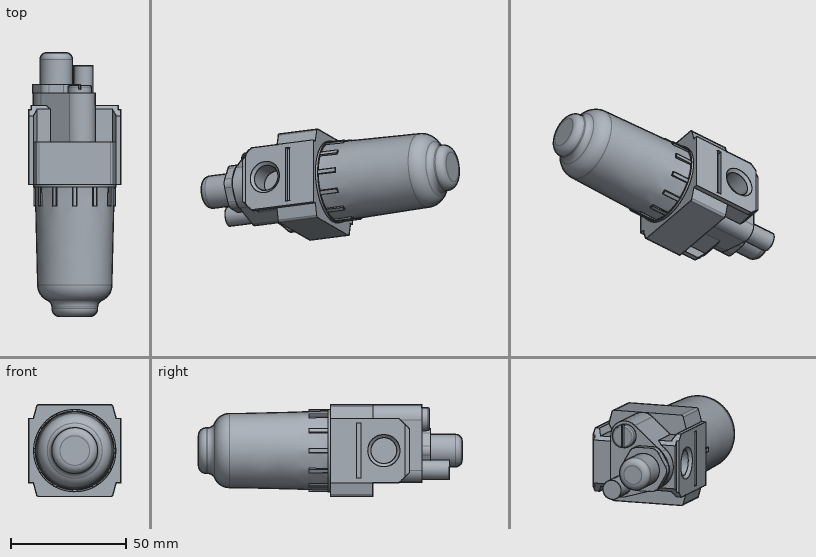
import cadquery as cq
import math


width = 40.0
half = width / 2
plate_half_height = 14.0
plate_inner_x = 18.0
block_top_half = 16.4
block_length = 18.4
block_edge_radius = 1.1
core_half_height = 11.1
body_length = 34.4
back_half_height = 9.5
chamfer_length = 4.6
back_step_length = 1.8
back_step_depth = 1.0

port_y = 23.2
port_radius = 5.6
port_mouth_radius = 7.0
port_depth = 11.5
groove_y = 12.4
groove_width = 1.8
groove_height = 23.9
groove_depth = 2.0

head_length = 39.7
knob_x = -8.0
head_right = 8.9
head_bottom = -13.7
knob_lobe = (knob_x, 0, 10.1)
low_radius = 5.2
low_lobe = (head_right - low_radius, head_bottom + low_radius, low_radius)
screw_lobe_radius = 6.8
screw_x = head_right - screw_lobe_radius
screw_lobe = (screw_x, half - screw_lobe_radius, screw_lobe_radius)

nut_end = 43.5
nut_flats = 19.1
nut_corner_radius = 4.0
knob_end = 57.2
knob_radius = 7.1
knob_rounding = 3.0
plug_x = 3.8
plug_z = -8.4
plug_radius = 4.2
plug_end = 51.6
screw_z = 13.6
screw_radius = 5.0
screw_end = 42.9
screw_rounding = 0.7
slot_width = 1.1
slot_depth = 1.5

collar_radius = 17.9
collar_length = 1.0
bowl_top_radius = 17.2
bowl_low_radius = 16.1
cone_end = 43.6
dome_radius = 7.1
dome_sweep = math.radians(66)
neck_radius = 10.0
cap_start = 53.7
bowl_end = 57.2
rib_count = 12
rib_end = 9.3
rib_tip_width = 1.7
rib_base_width = 2.4
rib_root_radius = 15.8
rib_tip_radius = 17.7


def plane_at(y, x=0, z=0):
    """Plane facing +Y whose second axis is +Z, so its first axis is -X."""
    return cq.Workplane(cq.Plane(origin=(x, y, z), xDir=(-1, 0, 0), normal=(0, 1, 0)))


def cylinder(x, z, radius, start, end):
    return plane_at(start, x, z).circle(radius).extrude(end - start)


def prism(points, start, end):
    """Extrude an outline of (x, z) points from y = start to y = end."""
    return cq.Workplane("XZ", origin=(0, start, 0)).polyline(points).close().extrude(start - end)


def mirrored(quarter):
    """Complete a quarter outline, listed from the right side to the top, to all four quarters."""
    upper = quarter + [(-x, z) for x, z in reversed(quarter)]
    return upper + [(-x, -z) for x, z in upper]


def make_block():
    outline = mirrored([(plate_inner_x, plate_half_height), (block_top_half, half)])
    block = prism(outline, 0, block_length)
    for side in (">Z", "<Z"):
        block = block.faces(side).edges("|Y").fillet(block_edge_radius)
    return block


def make_plates():
    section = mirrored([
        (half, plate_half_height),
        (plate_inner_x, plate_half_height),
        (block_top_half, core_half_height),
    ])
    plates = prism(section, 0, body_length)
    chamfer_y = body_length - chamfer_length
    side_outline = [
        (0, plate_half_height),
        (chamfer_y, plate_half_height),
        (body_length, back_half_height),
        (body_length, -back_half_height),
        (chamfer_y, -plate_half_height),
        (0, -plate_half_height),
    ]
    envelope = cq.Workplane("YZ").polyline(side_outline).close().extrude(half, both=True)
    plates = plates.intersect(envelope)
    step_y = body_length - back_step_length / 2
    for side in (-1, 1):
        step = cq.Workplane().box(2 * back_step_depth, back_step_length, width)
        plates = plates.cut(step.translate((side * half, step_y, 0)))
    return plates


def make_port(side):
    """Blind port with a conical mouth, opening at x = side * half."""
    mouth_depth = port_mouth_radius - port_radius
    profile = [
        (0, 0),
        (port_mouth_radius, 0),
        (port_radius, mouth_depth),
        (port_radius, port_depth),
        (0, port_depth),
    ]
    inward = cq.Plane(origin=(side * half, port_y, 0), xDir=(0, 0, 1), normal=(0, -side, 0))
    port = cq.Workplane(inward).polyline(profile).close()
    return port.revolve(360, (0, 0), (0, 1))


def make_groove(side):
    groove = cq.Workplane().box(2 * groove_depth, groove_width, groove_height)
    return groove.translate((side * half, groove_y, 0))


def on_circle(circle, angle):
    x, z, radius = circle
    return (x + radius * math.cos(angle), z + radius * math.sin(angle))


def tangent_angle(first, second):
    """Direction from both centres to the outer tangent line, going counterclockwise."""
    dx = second[0] - first[0]
    dz = second[1] - first[1]
    lean = math.acos((first[2] - second[2]) / math.hypot(dx, dz))
    return math.atan2(dz, dx) - lean


def make_head():
    lobes = [knob_lobe, low_lobe, screw_lobe]
    count = len(lobes)
    leaving = [tangent_angle(lobes[i], lobes[(i + 1) % count]) for i in range(count)]
    outline = cq.Workplane("XZ").moveTo(*on_circle(lobes[0], leaving[0]))
    for i in range(1, count + 1):
        lobe = lobes[i % count]
        arrive = leaving[i - 1]
        leave = leaving[i % count]
        sweep = (leave - arrive) % (2 * math.pi)
        outline = outline.lineTo(*on_circle(lobe, arrive))
        outline = outline.threePointArc(on_circle(lobe, arrive + sweep / 2), on_circle(lobe, leave))
    return outline.close().extrude(-head_length)


def make_nut():
    across_corners = nut_flats / math.cos(math.pi / 6)
    nut = plane_at(head_length, knob_x).polygon(6, across_corners).extrude(nut_end - head_length)
    return nut.edges("|Y").fillet(nut_corner_radius)


def make_knob():
    knob = cylinder(knob_x, 0, knob_radius, head_length, knob_end)
    return knob.faces(">Y").edges().fillet(knob_rounding)


def make_screw():
    screw = cylinder(screw_x, screw_z, screw_radius, head_length, screw_end)
    screw = screw.faces(">Y").edges().fillet(screw_rounding)
    slot = cq.Workplane().box(slot_width, 2 * slot_depth, 2 * screw_radius)
    return screw.cut(slot.translate((screw_x, screw_end, screw_z)))


def make_bowl():
    dome_centre = bowl_low_radius - dome_radius

    def on_dome(angle):
        return (dome_centre + dome_radius * math.cos(angle), -cone_end - dome_radius * math.sin(angle))

    dome_tip = on_dome(dome_sweep)
    neck_arc = (dome_tip[0] - neck_radius) / (1 - math.cos(dome_sweep))
    neck_centre_r = neck_radius + neck_arc
    neck_centre_y = dome_tip[1] - neck_arc * math.sin(dome_sweep)
    neck_mid = (
        neck_centre_r - neck_arc * math.cos(dome_sweep / 2),
        neck_centre_y + neck_arc * math.sin(dome_sweep / 2),
    )
    cap_rounding = bowl_end - cap_start
    cap_round_centre = neck_radius - cap_rounding
    cap_mid_offset = cap_rounding * math.sqrt(0.5)
    profile = (
        cq.Workplane("XY")
        .lineTo(collar_radius, 0)
        .lineTo(collar_radius, -collar_length)
        .lineTo(bowl_top_radius, -collar_length)
        .lineTo(bowl_low_radius, -cone_end)
        .threePointArc(on_dome(dome_sweep / 2), dome_tip)
        .threePointArc(neck_mid, (neck_radius, neck_centre_y))
        .lineTo(neck_radius, -cap_start)
        .threePointArc(
            (cap_round_centre + cap_mid_offset, -cap_start - cap_mid_offset),
            (cap_round_centre, -bowl_end),
        )
        .lineTo(0, -bowl_end)
        .close()
    )
    return profile.revolve(360, (0, 0), (0, 1))


def make_rib(angle):
    outline = [
        (rib_root_radius, -rib_base_width / 2),
        (rib_tip_radius, -rib_tip_width / 2),
        (rib_tip_radius, rib_tip_width / 2),
        (rib_root_radius, rib_base_width / 2),
    ]
    return prism(outline, -rib_end, 0).rotate((0, 0, 0), (0, 1, 0), angle)


result = make_block().union(make_plates()).union(make_head())
for side in (-1, 1):
    result = result.cut(make_port(side)).cut(make_groove(side))

result = result.union(make_nut()).union(make_knob()).union(make_screw())
result = result.union(cylinder(plug_x, plug_z, plug_radius, head_length, plug_end))

result = result.union(make_bowl())
for i in range(rib_count):
    result = result.union(make_rib(i * 360 / rib_count))